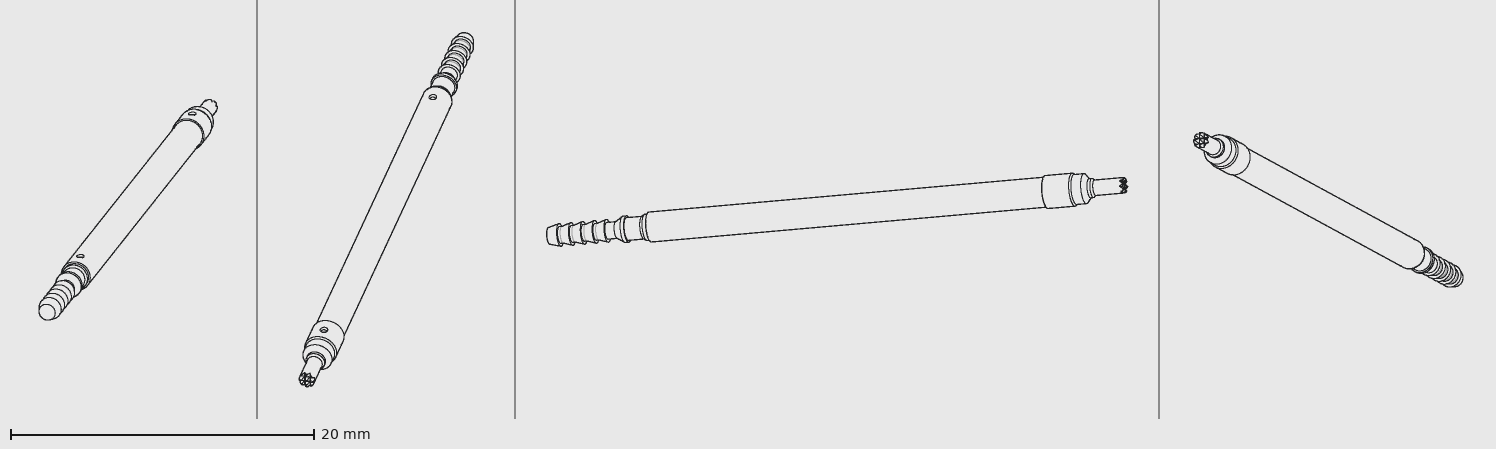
import cadquery as cq

length = 40.0
collar_diameter = 2.2

plunger_radius = 0.5
lip_radius = 0.65
body_radius = 1.0
collar_radius = collar_diameter / 2
shoulder_radius = 0.9
neck_radius = 0.75
barb_radius = neck_radius
tail_radius = 0.55

plunger_end = length - 2.15
lip_end = length - 2.5
nose_end = length - 2.85
collar_front = length - 3.65
collar_back = length - 5.5
body_end = length - 33.0
shoulder_end = length - 33.3
flange_start = length - 34.55
flange_end = length - 34.8
flange_cone_end = length - 35.3

nose_step = 0.15
shoulder_cone = 0.2
collar_ramp = 0.1

barb_count = 5
first_barb = length - 35.95
last_barb = length - 39.25
barb_pitch = (first_barb - last_barb) / (barb_count - 1)
barb_length = 0.65

serration_pitch = 0.35
serration_depth = 0.3
tip_chamfer_width = 0.15
tip_chamfer_height = 0.1

dimple_radius = 0.3
dimple_floor_radius = 0.15
dimple_depth = 0.1
collar_dimple = length - 4.5
rear_dimple = length - 31.85


def turned_body():
    """Half profile (radius, Y) revolved about the Y axis, from the tip to the tail."""
    profile = [
        (0, length),
        (plunger_radius - tip_chamfer_width, length),
        (plunger_radius, length - tip_chamfer_height),
        (plunger_radius, plunger_end),
        (lip_radius, plunger_end - nose_step),
        (lip_radius, lip_end),
        (body_radius, nose_end),
        (body_radius, collar_front + collar_ramp),
        (collar_radius, collar_front),
        (collar_radius, collar_back),
        (body_radius, collar_back),
        (body_radius, body_end),
        (shoulder_radius, body_end),
        (shoulder_radius, shoulder_end),
        (neck_radius, shoulder_end - shoulder_cone),
        (neck_radius, flange_start),
        (shoulder_radius, flange_start),
        (shoulder_radius, flange_end),
        (tail_radius, flange_cone_end),
    ]
    for index in range(barb_count):
        barb_start = first_barb - index * barb_pitch
        barb_end = barb_start - barb_length
        if index == barb_count - 1:
            barb_end = 0
        profile += [
            (tail_radius, barb_start),
            (barb_radius, barb_start),
            (tail_radius, barb_end),
        ]
    profile.append((0, 0))
    return cq.Workplane("XY").polyline(profile).close().revolve(360, (0, 0, 0), (0, 1, 0))


def serration_cutter():
    """Two V grooves across the tip, running along Z and meeting in a ridge at X = 0."""
    cutter = cq.Workplane("XY")
    for ridge_x in (-serration_pitch, 0):
        groove = [
            (ridge_x, length),
            (ridge_x + serration_pitch / 2, length - serration_depth),
            (ridge_x + serration_pitch, length),
        ]
        cutter = cutter.add(cq.Workplane("XY").polyline(groove).close().extrude(plunger_radius, both=True))
    return cutter


def dimple_cutter(station, surface_radius):
    """Cone-walled dimple with a flat floor, sunk into the +Z side of the body."""
    profile = [
        (0, surface_radius - dimple_depth),
        (dimple_floor_radius, surface_radius - dimple_depth),
        (dimple_radius, surface_radius),
        (0, surface_radius),
    ]
    cutter = cq.Workplane("XZ").polyline(profile).close().revolve(360, (0, 0, 0), (0, 1, 0))
    return cutter.translate((0, station, 0))


grooves_along_z = serration_cutter()
grooves_along_x = grooves_along_z.rotate((0, 0, 0), (0, 1, 0), 90)

result = turned_body().cut(grooves_along_z).cut(grooves_along_x)
result = result.cut(dimple_cutter(collar_dimple, collar_radius))
result = result.cut(dimple_cutter(rear_dimple, body_radius))